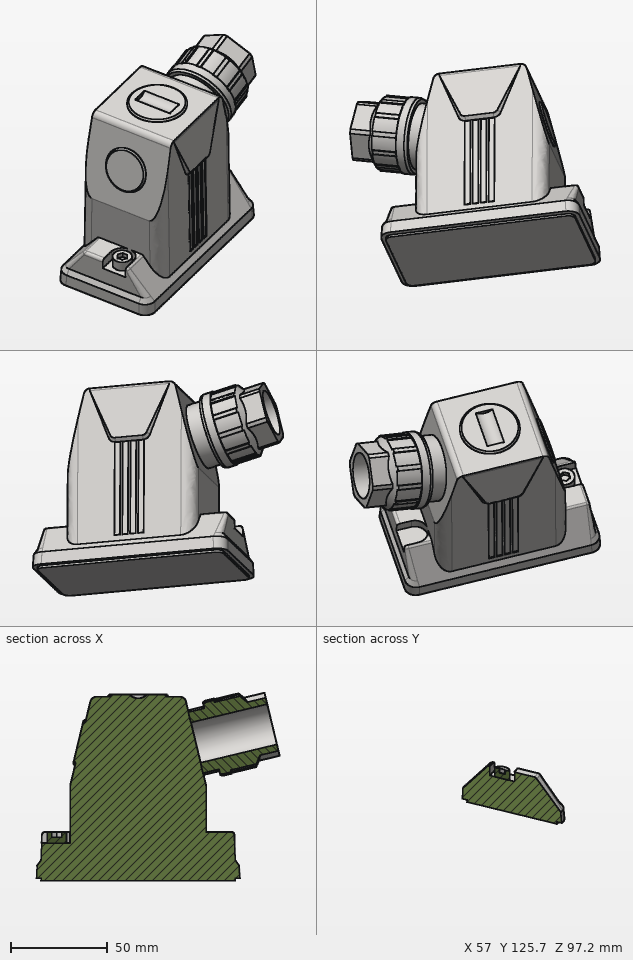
import cadquery as cq
import math

BASE_LENGTH = 105.2
BASE_WIDTH = 57.0
BASE_CORNER = 6.0
SKIRT_HEIGHT = 1.3
SKIRT_INSET = 2.4
RIM_TOP = 7.9
RIM_DRAFT = 0.4
LEDGE_TOP = 10.8
LEDGE_INSET = 2.4
LEDGE_CORNER = 3.6
LUG_TOP = 25.3
LUG_TOP_WIDTH = 27.2
LUG_END_DRAFT = 0.5
LUG_CORNER = 1.8
LUG_EDGE_RADIUS = 1.8

SCREW_X = 5.5
SCREW_Y = -42.0
POCKET_RADIUS = 6.9
POCKET_FLOOR = 19.6
HEAD_RADIUS = 5.0
HEAD_TOP = 25.1
SOCKET_ACROSS_CORNERS = 5.8
SOCKET_DEPTH = 2.5

HOOD_LENGTH = 70.4
HOOD_TOP = 95.2
HOOD_BOTTOM_WIDTH = 51.0
HOOD_TOP_WIDTH = 48.1
HOOD_CORNER = 7.3
SLOPE_START = 49.0
SLOPE_ANGLE = 13.5
HOOD_EDGE_RADIUS = 3.5

PANEL_BOTTOM = 66.6
PANEL_TOP = 94.3
PANEL_BOTTOM_X = 26.3
PANEL_BOTTOM_WIDTH = 18.2
PANEL_TOP_WIDTH = 43.2
PANEL_CORNER = 2.5
PANEL_DEPTH = 3.1
PANEL_FLANK_ANGLE = 43.0
GROOVE_COUNT = 4
GROOVE_WIDTH = 3.0
GROOVE_PITCH = 4.3
GROOVE_BOTTOM = 14.3
GROOVE_TOP = 64.7
GROOVE_FLOOR_X = 24.0

DISC_HEIGHT = 1.1
DISC_CHAMFER = 0.94
TOP_DISC_RADIUS = 15.6
FRONT_DISC_RADIUS = 12.2
SLOT_LENGTH = 21.2
SLOT_WIDTH = 9.0
SLOT_DEPTH = 2.0

GLAND_Z = 71.4
GLAND_LENGTH = 40.5
NECK_RADIUS = 17.2
NECK_LENGTH = 8.3
COLLAR_RADIUS = 20.0
COLLAR_END = 14.3
COLLAR_CHAMFER_LENGTH = 1.5
COLLAR_CHAMFER_DEPTH = 0.6
GRIP_RADIUS = 19.0
RIB_RADIUS = 19.6
RIB_WIDTH = 2.4
RIB_COUNT = 12
SHOULDER_START = 27.3
SHOULDER_ANGLE = 52.0
HEX_ACROSS_FLATS = 30.2
HEX_EDGE_DIAMETER = 33.6
BORE_RADIUS = 12.0

slope_run = (HOOD_TOP - SLOPE_START) * math.tan(math.radians(SLOPE_ANGLE))
hood_top_length = HOOD_LENGTH - 2 * slope_run
lug_wall_width = BASE_WIDTH - 2 * RIM_DRAFT
lug_side_slope = (lug_wall_width - LUG_TOP_WIDTH) / (LUG_TOP - RIM_TOP)


def rounded_loft(lower, upper):
    """Loft between two rounded rectangles, each (width, length, corner radius, height)."""
    sections = []
    for width, length, corner, height in (lower, upper):
        outline = cq.Sketch().rect(width, length).vertices().fillet(corner)
        sections.append(outline.moved(cq.Location(cq.Vector(0, 0, height))))
    return cq.Workplane("XY").placeSketch(*sections).loft()


def end_face_plane(side):
    """Plane on a leaning end face at the gland height; side is +1 for the +Y end, -1 for -Y."""
    angle = math.radians(SLOPE_ANGLE)
    face_y = HOOD_LENGTH / 2 - (GLAND_Z - SLOPE_START) * math.tan(angle)
    return cq.Plane(
        origin=(0, side * face_y, GLAND_Z),
        xDir=(1, 0, 0),
        normal=(0, side * math.cos(angle), math.sin(angle)),
    )


def make_base():
    skirt = (
        cq.Workplane("XY")
        .rect(BASE_WIDTH - 2 * SKIRT_INSET - 2 * RIM_DRAFT, BASE_LENGTH - 2 * SKIRT_INSET)
        .extrude(SKIRT_HEIGHT)
        .edges("|Z")
        .fillet(BASE_CORNER - SKIRT_INSET)
    )
    rim_bottom = (BASE_WIDTH, BASE_LENGTH, BASE_CORNER, SKIRT_HEIGHT)
    rim_top = (lug_wall_width, BASE_LENGTH - 2 * RIM_DRAFT, BASE_CORNER, RIM_TOP)
    ledge_width = lug_wall_width - lug_side_slope * (LEDGE_TOP - RIM_TOP)
    ledge_length = BASE_LENGTH - 2 * LEDGE_INSET
    ledge_top = (ledge_width, ledge_length, LEDGE_CORNER, LEDGE_TOP)
    lug_top = (LUG_TOP_WIDTH, ledge_length - 2 * LUG_END_DRAFT, LUG_CORNER, LUG_TOP)
    lug = rounded_loft(ledge_top, lug_top).faces(">Z").edges().fillet(LUG_EDGE_RADIUS)
    base = skirt.union(rounded_loft(rim_bottom, rim_top)).union(rounded_loft(rim_top, ledge_top))
    return base.union(lug).cut(make_screw_pockets()).clean()


def make_screw_pockets():
    """U-shaped pockets open to the flange ends, half a turn apart."""
    run_out = BASE_LENGTH / 2 + SCREW_Y
    pocket = (
        cq.Workplane("XY", origin=(SCREW_X, SCREW_Y, POCKET_FLOOR))
        .circle(POCKET_RADIUS)
        .extrude(LUG_TOP)
        .union(
            cq.Workplane("XY", origin=(SCREW_X, SCREW_Y - run_out / 2, POCKET_FLOOR))
            .rect(2 * POCKET_RADIUS, run_out)
            .extrude(LUG_TOP)
        )
    )
    return pocket.union(pocket.rotate((0, 0, 0), (0, 0, 1), 180))


def make_side_panel():
    """Wedge-shaped panel on the +X side, its outer face leaning inward towards the top."""
    height = PANEL_TOP - PANEL_BOTTOM
    lean = math.atan((PANEL_BOTTOM_X - HOOD_TOP_WIDTH / 2) / height)
    face = cq.Plane(
        origin=(PANEL_BOTTOM_X, 0, PANEL_BOTTOM),
        xDir=(0, 1, 0),
        normal=(math.cos(lean), 0, math.sin(lean)),
    )
    outline = (
        cq.Sketch()
        .polygon([
            (-PANEL_BOTTOM_WIDTH / 2, 0),
            (PANEL_BOTTOM_WIDTH / 2, 0),
            (PANEL_TOP_WIDTH / 2, height),
            (-PANEL_TOP_WIDTH / 2, height),
            (-PANEL_BOTTOM_WIDTH / 2, 0),
        ])
        .vertices("<Y")
        .fillet(PANEL_CORNER)
    )
    return cq.Workplane(face).placeSketch(outline).extrude(-PANEL_DEPTH, taper=-PANEL_FLANK_ANGLE)


def make_grip_grooves():
    """Shallow upright grooves on the +X side, below the panel and parallel to the hood wall."""
    grooves = cq.Workplane("XY")
    depth = PANEL_BOTTOM_X - GROOVE_FLOOR_X
    length = GROOVE_TOP - GROOVE_BOTTOM
    wall_taper = (HOOD_BOTTOM_WIDTH - HOOD_TOP_WIDTH) / 2
    lean = math.degrees(math.atan(wall_taper / (HOOD_TOP - RIM_TOP)))
    for index in range(GROOVE_COUNT):
        offset = (index - (GROOVE_COUNT - 1) / 2) * GROOVE_PITCH
        groove = (
            cq.Workplane("XY", origin=(0, 0, -length))
            .box(depth, GROOVE_WIDTH, length, centered=(False, True, False))
            .rotate((0, 0, 0), (0, 1, 0), -lean)
            .translate((GROOVE_FLOOR_X, offset, GROOVE_TOP))
        )
        grooves = grooves.union(groove)
    return grooves


def make_hood():
    lower = (HOOD_BOTTOM_WIDTH, HOOD_LENGTH, HOOD_CORNER, RIM_TOP)
    upper = (HOOD_TOP_WIDTH, HOOD_LENGTH, HOOD_CORNER, HOOD_TOP)
    panel = make_side_panel()
    grooves = make_grip_grooves()
    side_profile = (
        cq.Workplane("YZ")
        .polyline([
            (-HOOD_LENGTH / 2, RIM_TOP),
            (HOOD_LENGTH / 2, RIM_TOP),
            (HOOD_LENGTH / 2, SLOPE_START),
            (hood_top_length / 2, HOOD_TOP),
            (-hood_top_length / 2, HOOD_TOP),
            (-HOOD_LENGTH / 2, SLOPE_START),
        ])
        .close()
        .extrude(BASE_WIDTH / 2, both=True)
        .faces(">Z")
        .edges("|X")
        .fillet(HOOD_EDGE_RADIUS)
    )
    block = rounded_loft(lower, upper)
    for feature in (panel, panel.mirror("YZ")):
        block = block.union(feature)
    for feature in (grooves, grooves.mirror("YZ")):
        block = block.cut(feature)
    return block.intersect(side_profile)


def make_disc(plane, radius):
    disc = cq.Workplane(plane).circle(radius).extrude(DISC_HEIGHT)
    return disc.faces(cq.selectors.DirectionMinMaxSelector(plane.zDir)).edges().chamfer(DISC_CHAMFER)


def make_slot():
    """Trough across the top disc with a round bottom."""
    half = SLOT_WIDTH / 2
    top = HOOD_TOP + DISC_HEIGHT
    return (
        cq.Workplane("YZ")
        .moveTo(-half, top)
        .threePointArc((0, top - SLOT_DEPTH), (half, top))
        .close()
        .extrude(SLOT_LENGTH / 2, both=True)
    )


def make_housing():
    top_plane = cq.Plane(origin=(0, 0, HOOD_TOP))
    housing = make_base().union(make_hood())
    housing = housing.union(make_disc(top_plane, TOP_DISC_RADIUS))
    housing = housing.union(make_disc(end_face_plane(-1), FRONT_DISC_RADIUS))
    return housing.cut(make_slot()).solids()


def make_nut_body(radius):
    """Turned blank that ends in a shoulder cone running inside the hexagon."""
    hex_radius = HEX_ACROSS_FLATS / 2
    slope = math.tan(math.radians(SHOULDER_ANGLE))
    cone_start = SHOULDER_START + (RIB_RADIUS - radius) / slope
    cone_end = SHOULDER_START + (RIB_RADIUS - hex_radius) / slope
    return (
        cq.Workplane("XZ")
        .polyline([
            (0, NECK_LENGTH + COLLAR_CHAMFER_LENGTH),
            (radius, NECK_LENGTH + COLLAR_CHAMFER_LENGTH),
            (radius, cone_start),
            (hex_radius, cone_end),
            (0, cone_end),
        ])
        .close()
        .revolve(360, (0, 0, 0), (0, 1, 0))
    )


def make_gland():
    """Cable gland modelled upright on Z, then placed square on the leaning +Y end face."""
    neck = cq.Workplane("XY").circle(NECK_RADIUS).extrude(NECK_LENGTH)
    collar = (
        cq.Workplane("XZ")
        .polyline([
            (0, NECK_LENGTH),
            (COLLAR_RADIUS - COLLAR_CHAMFER_DEPTH, NECK_LENGTH),
            (COLLAR_RADIUS, NECK_LENGTH + COLLAR_CHAMFER_LENGTH),
            (COLLAR_RADIUS, COLLAR_END),
            (0, COLLAR_END),
        ])
        .close()
        .revolve(360, (0, 0, 0), (0, 1, 0))
    )
    rib_blank = make_nut_body(RIB_RADIUS)
    bars = cq.Workplane("XY")
    for index in range(RIB_COUNT // 2):
        bar = cq.Workplane("XY").rect(RIB_WIDTH, 2 * COLLAR_RADIUS).extrude(GLAND_LENGTH)
        bars = bars.union(bar.rotate((0, 0, 0), (0, 0, 1), index * 360 / RIB_COUNT))
    hex_across_corners = HEX_ACROSS_FLATS / math.cos(math.radians(30))
    hexagon = (
        cq.Workplane("XY", origin=(0, 0, COLLAR_END))
        .polygon(6, hex_across_corners)
        .extrude(GLAND_LENGTH - COLLAR_END)
        .rotate((0, 0, 0), (0, 0, 1), 90)
        .intersect(cq.Workplane("XY").circle(HEX_EDGE_DIAMETER / 2).extrude(GLAND_LENGTH))
    )
    bore = cq.Workplane("XY").circle(BORE_RADIUS).extrude(GLAND_LENGTH)
    gland = neck.union(collar).union(make_nut_body(GRIP_RADIUS))
    gland = gland.union(rib_blank.intersect(bars)).union(hexagon).cut(bore)
    seat = cq.Location(end_face_plane(1))
    return cq.Workplane(gland.solids().val().located(seat))


def make_screw():
    head = (
        cq.Workplane("XY", origin=(SCREW_X, SCREW_Y, POCKET_FLOOR))
        .circle(HEAD_RADIUS)
        .extrude(HEAD_TOP - POCKET_FLOOR)
    )
    return head.faces(">Z").workplane().polygon(6, SOCKET_ACROSS_CORNERS).cutBlind(-SOCKET_DEPTH).solids()


housing = make_housing()
gland = make_gland()
screw = make_screw()

result = cq.Compound.makeCompound([housing.val(), gland.val(), screw.val()])